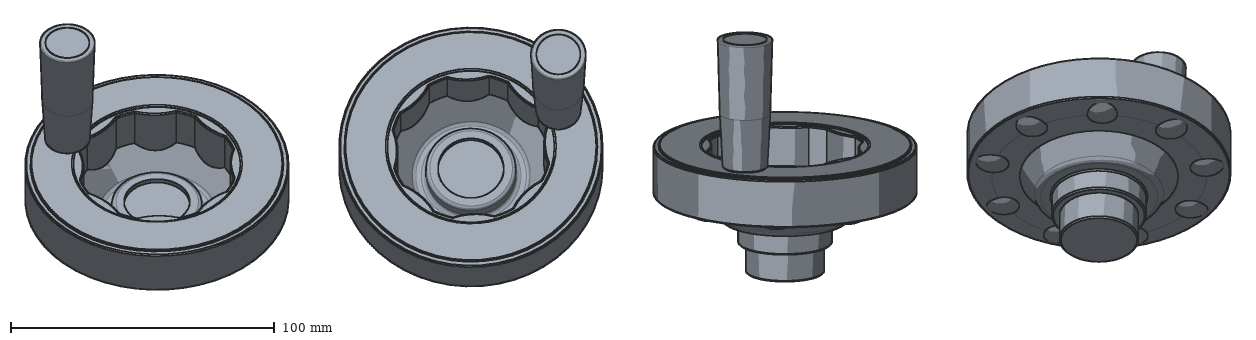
import cadquery as cq
import math


total_height = 100.4
face_height = 50.0

rim_radius = 50.0
rim_bottom = 31.3
rim_edge_chamfer = 0.5
ledge_height = 49.4
ring_outer_radius = 48.0
ring_inner_radius = 31.6
ring_outer_chamfer = 0.5
ring_inner_chamfer = 0.7
ring_bevel_height = 0.3
web_bottom = 29.5
web_outer_radius = 40.7
web_inner_radius = 30.0

dish_bottom = 20.1
dish_side_bottom = 21.8
dish_side_radius = 24.5
dish_side_mid = (26.7, 25.5)
dish_floor_radius = 22.2
dish_corner_mid = (23.7, 20.6)

collar_radius = 17.9
collar_bottom = 11.3
collar_top_flare = 0.6
hub_radius = 15.0
hub_chamfer = 0.6

floor_height = 23.1
floor_radius = 21.0
cone_bottom_radius = 22.4
cone_bottom = 23.9
floor_corner_mid = (21.8, 23.3)
cone_slope = 1.23
cone_top_radius = 32.1
cone_top = cone_bottom + cone_slope * (cone_top_radius - cone_bottom_radius)

boss_radius = 17.1
boss_top = 30.0
boss_foot_fillet = 1.8
boss_top_fillet = 1.4
recess_radius = 12.5
recess_depth = 1.8

scallop_count = 8
scallop_outer_radius = 30.0
scallop_inner_radius = 27.7
scallop_half_angle = 7.2
opening_chamfer = 0.5

grip_count = 9
grip_sphere_radius = 12.0
grip_pitch_radius = 40.7
grip_bottom = 28.1
grip_root = 31.7

handle_offset = 36.4
handle_top_radius = 10.4
handle_waist_radius = 9.6
handle_waist_height = 71.2
handle_foot_radius = 8.5
handle_foot_chamfer = 0.6
handle_top_fillet = 0.4
cap_radius = 8.3
cap_recess_depth = 0.2


def polar(radius, degrees):
    angle = math.radians(degrees)
    return (radius * math.cos(angle), radius * math.sin(angle))


def revolve_profile(profile):
    """Turn a closed (radius, height) profile once about the Z axis."""
    return profile.close().revolve(360, (0, 0, 0), (0, 1, 0))


def make_wheel_blank():
    profile = (
        cq.Workplane("XZ")
        .moveTo(0, 0)
        .lineTo(hub_radius - hub_chamfer, 0)
        .lineTo(hub_radius, hub_chamfer)
        .lineTo(hub_radius, collar_bottom)
        .lineTo(collar_radius - hub_chamfer, collar_bottom)
        .lineTo(collar_radius, collar_bottom + hub_chamfer)
        .lineTo(collar_radius, dish_bottom - collar_top_flare)
        .lineTo(collar_radius + collar_top_flare, dish_bottom)
        .lineTo(dish_floor_radius, dish_bottom)
        .threePointArc(dish_corner_mid, (dish_side_radius, dish_side_bottom))
        .threePointArc(dish_side_mid, (web_inner_radius, web_bottom))
        .lineTo(web_outer_radius, web_bottom)
        .tangentArcPoint((rim_radius - rim_edge_chamfer, rim_bottom - rim_edge_chamfer), relative=False)
        .lineTo(rim_radius, rim_bottom)
        .lineTo(rim_radius, ledge_height - rim_edge_chamfer)
        .lineTo(rim_radius - rim_edge_chamfer, ledge_height)
        .lineTo(ring_outer_radius, ledge_height)
        .lineTo(ring_outer_radius, face_height - ring_bevel_height)
        .lineTo(ring_outer_radius - ring_outer_chamfer, face_height)
        .lineTo(ring_inner_radius + ring_inner_chamfer, face_height)
        .lineTo(ring_inner_radius, face_height - ring_bevel_height)
        .lineTo(ring_inner_radius, ledge_height)
        .lineTo(0, ledge_height)
    )
    return revolve_profile(profile)


def draw_scallop_outline(height):
    """Closed outline at a height: arcs about the axis, joined by arcs that bulge toward it."""
    pitch = 360 / scallop_count
    outline = cq.Workplane("XY").workplane(offset=height)
    outline = outline.moveTo(*polar(scallop_outer_radius, -scallop_half_angle))
    for index in range(scallop_count):
        middle = index * pitch
        outline = outline.threePointArc(
            polar(scallop_outer_radius, middle),
            polar(scallop_outer_radius, middle + scallop_half_angle),
        ).threePointArc(
            polar(scallop_inner_radius, middle + pitch / 2),
            polar(scallop_outer_radius, middle + pitch - scallop_half_angle),
        )
    return outline.close()


def make_opening_bevel():
    """Thin prism that widens upward, to bevel the top edge of the scalloped wall."""
    return draw_scallop_outline(ledge_height - opening_chamfer).extrude(opening_chamfer, taper=-45)


def make_dish_cavity():
    """Space above the dish floor and around the boss, inside the scalloped wall."""
    profile = (
        cq.Workplane("XZ")
        .moveTo(0, boss_top - recess_depth)
        .lineTo(recess_radius, boss_top - recess_depth)
        .lineTo(recess_radius, boss_top)
        .lineTo(boss_radius - boss_top_fillet, boss_top)
        .radiusArc((boss_radius, boss_top - boss_top_fillet), boss_top_fillet)
        .lineTo(boss_radius, floor_height + boss_foot_fillet)
        .radiusArc((boss_radius + boss_foot_fillet, floor_height), -boss_foot_fillet)
        .lineTo(floor_radius, floor_height)
        .threePointArc(floor_corner_mid, (cone_bottom_radius, cone_bottom))
        .lineTo(cone_top_radius, cone_top)
        .lineTo(cone_top_radius, ledge_height)
        .lineTo(0, ledge_height)
    )
    scalloped_prism = draw_scallop_outline(0).extrude(ledge_height)
    return revolve_profile(profile).intersect(scalloped_prism)


def make_grip_caps():
    """Shallow spherical caps under the rim, with one cap on the +X axis."""
    sphere_height = grip_bottom + grip_sphere_radius
    cap_height = grip_root - grip_bottom
    root_radius = math.sqrt(grip_sphere_radius**2 - (sphere_height - grip_root) ** 2)
    cap = revolve_profile(
        cq.Workplane("XZ")
        .moveTo(0, 0)
        .radiusArc((root_radius, cap_height), -grip_sphere_radius)
        .lineTo(0, cap_height)
    )
    caps = cq.Workplane("XY")
    for index in range(grip_count):
        x, y = polar(grip_pitch_radius, index * 360 / grip_count)
        caps = caps.add(cap.translate((x, y, grip_bottom)))
    return caps


def make_wheel():
    wheel = make_wheel_blank().cut(make_dish_cavity()).cut(make_opening_bevel())
    for cap in make_grip_caps().vals():
        wheel = wheel.union(cq.Workplane(cap))
    return wheel


def make_handle():
    profile = (
        cq.Workplane("XZ")
        .moveTo(0, face_height)
        .lineTo(handle_foot_radius - handle_foot_chamfer, face_height)
        .lineTo(handle_foot_radius, face_height + handle_foot_chamfer)
        .lineTo(handle_waist_radius, handle_waist_height)
        .lineTo(handle_top_radius, total_height - handle_top_fillet)
        .radiusArc((handle_top_radius - handle_top_fillet, total_height), -handle_top_fillet)
        .lineTo(cap_radius, total_height)
        .lineTo(cap_radius, total_height - cap_recess_depth)
        .lineTo(0, total_height - cap_recess_depth)
    )
    return revolve_profile(profile).translate((-handle_offset, 0, 0))


wheel = make_wheel()
handle = make_handle()

result = cq.Compound.makeCompound([wheel.val(), handle.val()])